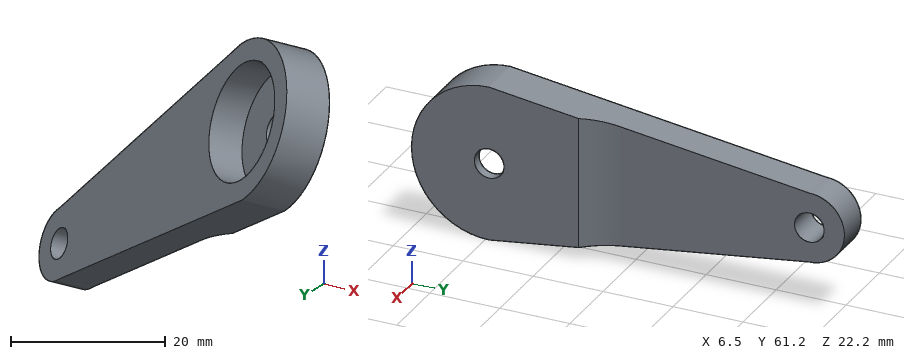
import cadquery as cq

length = 61.2
hub_diameter = 22.2
tip_radius = 5.0
hub_thickness = 6.5
arm_thickness = 5.0

hole_diameter = 4.2
pocket_diameter = 16.3
pocket_depth = 5.0

blend_start = 12.8
blend_radius = 10.0

hub_radius = hub_diameter / 2
tip_y = length - hub_radius - tip_radius
step_height = hub_thickness - arm_thickness
blend_end = blend_start + (blend_radius**2 - (blend_radius - step_height) ** 2) ** 0.5


def make_lever_blank():
    """Full-thickness tapered lever with rounded ends."""
    return (
        cq.Workplane("YZ")
        .moveTo(0, hub_radius)
        .lineTo(tip_y, tip_radius)
        .threePointArc((tip_y + tip_radius, 0), (tip_y, -tip_radius))
        .lineTo(0, -hub_radius)
        .threePointArc((-hub_radius, 0), (0, hub_radius))
        .close()
        .extrude(hub_thickness)
    )


def make_arm_relief():
    """Material above the thin arm, with a concave blend at the hub."""
    far_y = tip_y + 2 * tip_radius
    blend_mid_y = (blend_start + blend_end) / 2
    blend_center_x = arm_thickness + blend_radius
    blend_mid_x = blend_center_x - (blend_radius**2 - (blend_end - blend_mid_y) ** 2) ** 0.5
    return (
        cq.Workplane("XY")
        .moveTo(hub_thickness, blend_start)
        .threePointArc((blend_mid_x, blend_mid_y), (arm_thickness, blend_end))
        .lineTo(arm_thickness, far_y)
        .lineTo(hub_thickness, far_y)
        .close()
        .extrude(hub_radius, both=True)
    )


def make_bore(center_y, diameter, depth):
    """Cylinder cut along X from the flat back face."""
    return cq.Workplane("YZ").center(center_y, 0).circle(diameter / 2).extrude(depth)


result = make_lever_blank().cut(make_arm_relief())
result = result.cut(make_bore(0, pocket_diameter, pocket_depth))
for hole_y in (0, tip_y):
    result = result.cut(make_bore(hole_y, hole_diameter, hub_thickness))